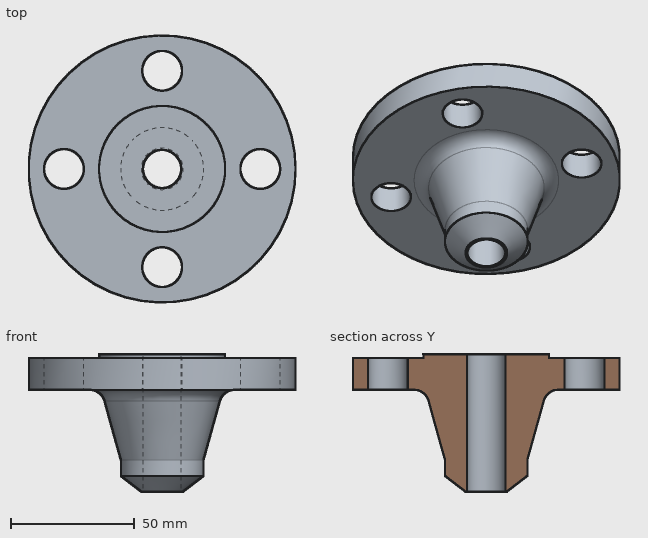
import cadquery as cq
import math

flange_diameter = 108.0
flange_thickness = 13.0
face_diameter = 51.0
face_height = 1.5

total_height = 55.6
neck_top_radius = 24.6
neck_fillet = 6.0
weld_end_radius = 16.7
weld_end_length = 6.5
bevel_height = 6.4
tip_radius = 8.4

bore_diameter = 15.3
bolt_hole_diameter = 16.0
bolt_circle_diameter = 79.3
bolt_count = 4

flange_top = total_height - face_height
flange_bottom = flange_top - flange_thickness
taper_bottom = bevel_height + weld_end_length

taper_angle = math.atan2(neck_top_radius - weld_end_radius, flange_bottom - taper_bottom)
fillet_drop = neck_fillet * (1 - math.sin(taper_angle))
fillet_inner_radius = neck_top_radius - fillet_drop * math.tan(taper_angle)
fillet_center_radius = fillet_inner_radius + neck_fillet * math.cos(taper_angle)
fillet_center_height = flange_bottom - neck_fillet
mid_angle = (math.pi / 2 + math.pi - taper_angle) / 2
fillet_middle = (
    fillet_center_radius + neck_fillet * math.cos(mid_angle),
    fillet_center_height + neck_fillet * math.sin(mid_angle),
)


def make_body():
    """Revolve the half section of flange, neck and weld end about Z."""
    return (
        cq.Workplane("XZ")
        .moveTo(0, 0)
        .lineTo(tip_radius, 0)
        .lineTo(weld_end_radius, bevel_height)
        .lineTo(weld_end_radius, taper_bottom)
        .lineTo(fillet_inner_radius, flange_bottom - fillet_drop)
        .threePointArc(fillet_middle, (fillet_center_radius, flange_bottom))
        .lineTo(flange_diameter / 2, flange_bottom)
        .lineTo(flange_diameter / 2, flange_top)
        .lineTo(face_diameter / 2, flange_top)
        .lineTo(face_diameter / 2, total_height)
        .lineTo(0, total_height)
        .close()
        .revolve(360, (0, 0, 0), (0, 1, 0))
    )


def make_bore():
    """Central bore running the full height."""
    return cq.Workplane("XY").circle(bore_diameter / 2).extrude(total_height)


def make_bolt_holes():
    """Bolt holes through the flange, evenly spaced from the X axis."""
    return (
        cq.Workplane("XY")
        .workplane(offset=flange_bottom)
        .polarArray(bolt_circle_diameter / 2, 0, 360, bolt_count)
        .circle(bolt_hole_diameter / 2)
        .extrude(flange_thickness)
    )


result = make_body().cut(make_bore()).cut(make_bolt_holes())